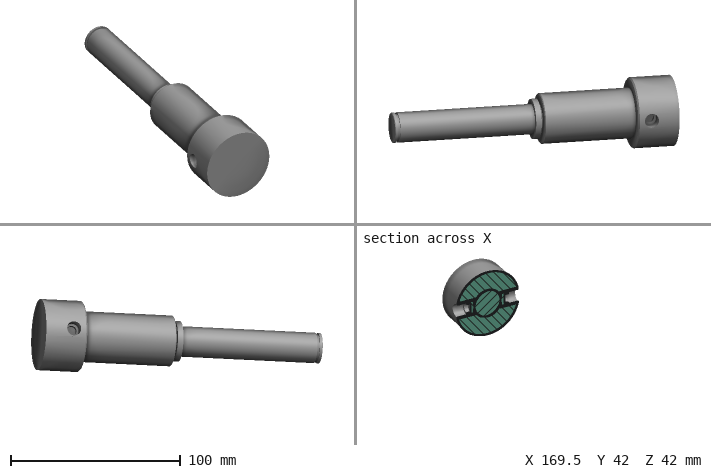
import cadquery as cq

OVERALL_LENGTH = 169.5

SHAFT_DIAMETER = 18.0
SHAFT_LENGTH = 161.0
SHAFT_CHAMFER = 0.3
GROOVE_START = 1.7
GROOVE_WIDTH = 1.5
GROOVE_DIAMETER = 16.3

COLLAR_START = 84.8
COLLAR_WIDTH = 3.4
COLLAR_DIAMETER = 23.9

HEAD_DIAMETER = 42.0
HEAD_LENGTH = 25.0
HEAD_CHAMFER = 0.8

SLEEVE_DIAMETER = 30.0
SLEEVE_START = 89.5
SLEEVE_CHAMFER = 0.5

INSERT_DIAMETER = 9.8

SCREW_DIAMETER = 8.5
SCREW_LENGTH = 5.1
SCREW_SETBACK = 8.1
SOCKET_DIAMETER = 5.8
SOCKET_DEPTH = 2.5

HEAD_START = OVERALL_LENGTH - HEAD_LENGTH
SCREW_X = HEAD_START + SCREW_SETBACK
SHAFT_RADIUS = SHAFT_DIAMETER / 2
HEAD_RADIUS = HEAD_DIAMETER / 2
SIDES = (-1, 1)


def cylinder_x(diameter, start, length):
    """Cylinder on the X axis that begins at X = start."""
    return cq.Workplane("YZ").workplane(offset=start).circle(diameter / 2).extrude(length)


def screw_plane(side, distance):
    """Workplane square to a screw axis, at a distance from the X axis, facing outward."""
    return cq.Workplane(
        cq.Plane(origin=(SCREW_X, side * distance, 0), xDir=(1, 0, 0), normal=(0, side, 0))
    )


def make_shaft():
    """Round shaft with a retaining groove near its free end."""
    shaft = cylinder_x(SHAFT_DIAMETER, 0, SHAFT_LENGTH)
    shaft = shaft.faces("<X").chamfer(SHAFT_CHAMFER)
    groove = cylinder_x(SHAFT_DIAMETER, GROOVE_START, GROOVE_WIDTH).cut(
        cylinder_x(GROOVE_DIAMETER, GROOVE_START, GROOVE_WIDTH)
    )
    return shaft.cut(groove)


def make_collar():
    """Plain ring that fits around the shaft."""
    ring = cylinder_x(COLLAR_DIAMETER, COLLAR_START, COLLAR_WIDTH)
    return ring.cut(cylinder_x(SHAFT_DIAMETER, COLLAR_START, COLLAR_WIDTH))


def make_sleeve():
    """Plain tube on the shaft, butting against the head, with both outer rims chamfered."""
    length = HEAD_START - SLEEVE_START
    sleeve = cylinder_x(SLEEVE_DIAMETER, SLEEVE_START, length).edges().chamfer(SLEEVE_CHAMFER)
    return sleeve.cut(cylinder_x(SHAFT_DIAMETER, SLEEVE_START, length))


def make_head():
    """Round head with a blind bore for the shaft and an insert hole on each side."""
    head = cylinder_x(HEAD_DIAMETER, HEAD_START, HEAD_LENGTH)
    head = head.faces("<X").chamfer(HEAD_CHAMFER)
    for side in SIDES:
        head = head.cut(screw_plane(side, 0).circle(INSERT_DIAMETER / 2).extrude(HEAD_RADIUS))
    return head.cut(cylinder_x(SHAFT_DIAMETER, HEAD_START, SHAFT_LENGTH - HEAD_START))


def make_insert(side):
    """Tube from the shaft out to the head surface, its outer end curved to lie flush."""
    length = HEAD_RADIUS - SHAFT_RADIUS
    tube = (
        screw_plane(side, SHAFT_RADIUS)
        .circle(INSERT_DIAMETER / 2)
        .circle(SCREW_DIAMETER / 2)
        .extrude(length)
    )
    return tube.intersect(cylinder_x(HEAD_DIAMETER, HEAD_START, HEAD_LENGTH))


def make_set_screw(side):
    """Headless screw resting on the shaft, with a round socket in its outer end."""
    screw = screw_plane(side, SHAFT_RADIUS).circle(SCREW_DIAMETER / 2).extrude(SCREW_LENGTH)
    socket = (
        screw_plane(side, SHAFT_RADIUS + SCREW_LENGTH - SOCKET_DEPTH)
        .circle(SOCKET_DIAMETER / 2)
        .extrude(SOCKET_DEPTH)
    )
    return screw.cut(socket)


shaft = make_shaft()
collar = make_collar()
sleeve = make_sleeve()
head = make_head()
inserts = [make_insert(side) for side in SIDES]
set_screws = [make_set_screw(side) for side in SIDES]

bodies = [shaft, collar, sleeve, head, *inserts, *set_screws]
result = cq.Compound.makeCompound([body.solids().val() for body in bodies])